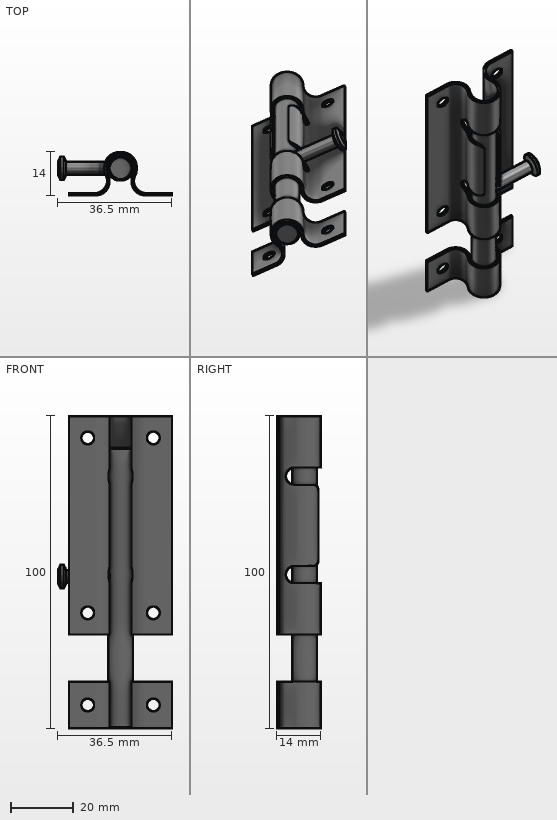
import cadquery as cq
import math


sheet = 0.8
plate_width = 33.0
plate_depth = 14.0
barrel_diameter = 10.5
barrel_outer = barrel_diameter / 2
barrel_y = plate_depth - barrel_outer
barrel_inner = barrel_outer - sheet
bend_x = 8.2
bend_outer = (bend_x**2 + barrel_y**2 - barrel_inner**2) / (2 * (barrel_y + barrel_inner))
bend_inner = bend_outer - sheet

strike_length = 15.0
housing_bottom = 30.0
housing_length = 70.0
housing_middle = housing_bottom + housing_length / 2

screw_hole_diameter = 4.0
screw_hole_x = 10.5
housing_hole_inset = 7.0

slot_width = 5.5
slot_spacing = 31.5
slot_floor_y = 2.8
corner_radius = 2.0

bolt_diameter = 8.0
bolt_length = 90.0
bolt_chamfer = 0.5

shank_diameter = 4.2
head_diameter = 7.6
head_length = 2.6
rim_width = 1.0
knob_end_x = -20.0
shank_end_x = 0.0
lower_slot_z = housing_middle - slot_spacing / 2
knob_z = lower_slot_z - slot_width / 2 + shank_diameter / 2


def bent_sheet(length):
    """Omega-shaped sheet, standing on Z = 0: two flanges, two bends and a barrel."""
    tilt = math.atan2(barrel_y - bend_outer, bend_x)
    edge_x = plate_width / 2

    def on_barrel(radius):
        return radius * math.cos(tilt), barrel_y - radius * math.sin(tilt)

    def on_bend(radius):
        angle = (math.pi - tilt + 1.5 * math.pi) / 2
        return bend_x + radius * math.cos(angle), bend_outer + radius * math.sin(angle)

    inner_x, inner_y = on_barrel(barrel_inner)
    outer_x, outer_y = on_barrel(barrel_outer)
    low_x, low_y = on_bend(bend_outer)
    high_x, high_y = on_bend(bend_inner)
    return (
        cq.Workplane("XY")
        .moveTo(-edge_x, 0)
        .lineTo(-bend_x, 0)
        .threePointArc((-low_x, low_y), (-inner_x, inner_y))
        .threePointArc((0, barrel_y + barrel_inner), (inner_x, inner_y))
        .threePointArc((low_x, low_y), (bend_x, 0))
        .lineTo(edge_x, 0)
        .lineTo(edge_x, sheet)
        .lineTo(bend_x, sheet)
        .threePointArc((high_x, high_y), (outer_x, outer_y))
        .threePointArc((0, plate_depth), (-outer_x, outer_y))
        .threePointArc((-high_x, high_y), (-bend_x, sheet))
        .lineTo(-edge_x, sheet)
        .close()
        .extrude(length)
    )


def screw_holes(heights):
    """Drills along Y, one through each flange at every height."""
    centres = [(side * screw_hole_x, z) for side in (-1, 1) for z in heights]
    return (
        cq.Workplane("XZ")
        .pushPoints(centres)
        .circle(screw_hole_diameter / 2)
        .extrude(-plate_depth)
    )


def cross_slot(z):
    """Slot cut through both barrel walls along X, round at the flange end, open at +Y."""
    radius = slot_width / 2
    round_y = slot_floor_y + radius
    return (
        cq.Workplane("YZ", origin=(-bend_x, 0, z))
        .moveTo(plate_depth, -radius)
        .lineTo(round_y, -radius)
        .threePointArc((slot_floor_y, 0), (round_y, radius))
        .lineTo(plate_depth, radius)
        .close()
        .extrude(2 * bend_x)
    )


def knob_cutout():
    """Two cross slots joined by a lengthwise track, with rounded corners at the junctions."""
    track = cq.Workplane("XY").box(slot_width, barrel_outer, slot_spacing)
    cutout = track.translate((0, barrel_y + barrel_outer / 2, housing_middle))
    for side in (-1, 1):
        cutout = cutout.union(cross_slot(housing_middle + side * slot_spacing / 2))
    track_end = (slot_spacing - slot_width) / 2
    box_margin = slot_width / 4
    junctions = cq.selectors.BoxSelector(
        (-slot_width, barrel_y, housing_middle - track_end - box_margin),
        (slot_width, plate_depth, housing_middle + track_end + box_margin),
    )
    return cutout.edges("|Y").edges(junctions).fillet(corner_radius)


def make_housing():
    """Long bent sheet with four screw holes and the knob cutout."""
    first_hole_z = housing_bottom + housing_hole_inset
    last_hole_z = housing_bottom + housing_length - housing_hole_inset
    return (
        bent_sheet(housing_length)
        .translate((0, 0, housing_bottom))
        .cut(screw_holes([first_hole_z, last_hole_z]))
        .cut(knob_cutout())
    )


def make_strike():
    """Short bent sheet with two screw holes."""
    return bent_sheet(strike_length).cut(screw_holes([strike_length / 2]))


def make_knob():
    """Straight shank with a double-tapered head at its -X end."""
    rim_radius = head_diameter / 2
    shank_radius = shank_diameter / 2
    slope = (head_length - rim_width) / 2
    return (
        cq.Workplane("XY")
        .lineTo(0, shank_radius)
        .lineTo(slope, rim_radius)
        .lineTo(slope + rim_width, rim_radius)
        .lineTo(head_length, shank_radius)
        .lineTo(shank_end_x - knob_end_x, shank_radius)
        .lineTo(shank_end_x - knob_end_x, 0)
        .close()
        .revolve(360, (0, 0, 0), (1, 0, 0))
        .translate((knob_end_x, barrel_y, knob_z))
    )


def make_bolt(knob):
    """Round bar, chamfered at both ends, with a blind hole that the knob shank fills."""
    bar = (
        cq.Workplane("XY")
        .center(0, barrel_y)
        .circle(bolt_diameter / 2)
        .extrude(bolt_length)
        .faces("<Z or >Z")
        .chamfer(bolt_chamfer)
    )
    return bar.cut(knob)


housing = make_housing()
strike = make_strike()
knob = make_knob()
bolt = make_bolt(knob)

result = cq.Compound.makeCompound([housing.val(), strike.val(), bolt.val(), knob.val()])